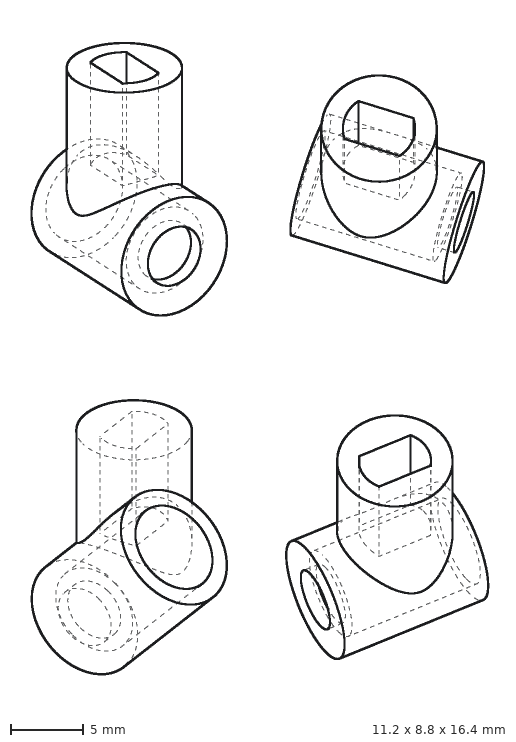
import cadquery as cq

sleeve_length = 11.2
sleeve_diameter = 8.8
bore_diameter = 6.4
lip_bore_diameter = 4.4
lip_thickness = 1.2
bore_depth = sleeve_length - lip_thickness

overall_height = 16.4
post_top = overall_height - sleeve_diameter / 2
post_diameter = 8.0
post_x = 5.0

socket_diameter = 5.0
socket_flat_width = 3.0


def cylinder_along_x(diameter, length):
    return cq.Workplane("YZ").circle(diameter / 2).extrude(length)


def cylinder_up_from_axis(diameter):
    return cq.Workplane("XY").center(post_x, 0).circle(diameter / 2).extrude(post_top)


def flatted_socket():
    flats = (
        cq.Workplane("XY")
        .center(post_x, 0)
        .rect(socket_diameter, socket_flat_width)
        .extrude(post_top)
    )
    return cylinder_up_from_axis(socket_diameter).intersect(flats)


sleeve = cylinder_along_x(sleeve_diameter, sleeve_length)
post = cylinder_up_from_axis(post_diameter).cut(flatted_socket())

body = sleeve.union(post)

body = body.cut(cylinder_along_x(bore_diameter, bore_depth))
result = body.cut(cylinder_along_x(lip_bore_diameter, sleeve_length))